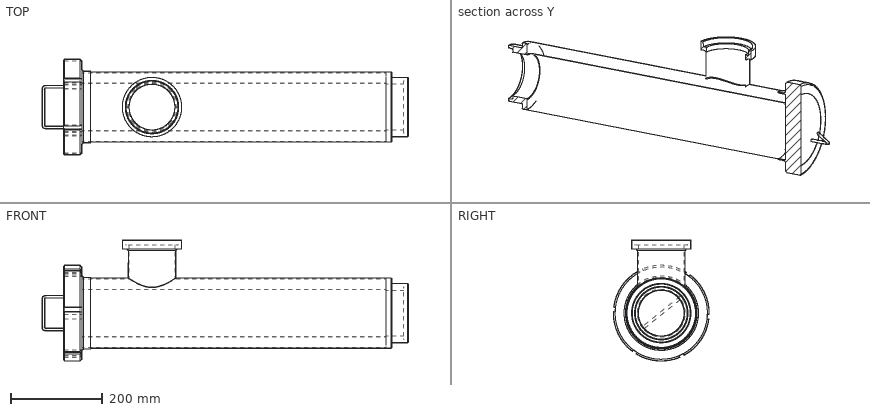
import cadquery as cq
import math


NUT_FRONT = 46.5
NUT_BACK = 87.0
CONE_END = 91.0
COLLAR_END = 106.0
HOUSING_END = 765.5
OVERALL_LENGTH = 801.0

HOUSING_OD = 154.0
HOUSING_ID = 150.0
COLLAR_OD = 157.0
COLLAR_CONE_OD = 163.0
END_WALL = 13.5
END_CHAMFER = 2.0

NUT_OD = 210.0
NUT_EDGE_DROP = 4.0
NUT_FRONT_CHAMFER = 2.5
NUT_BACK_CHAMFER = 4.5
SLOT_COUNT = 6
SLOT_WIDTH = 10.0
FIRST_SLOT_ANGLE = 55.6
COVER_DIAMETER = 163.0
COVER_RECESS = 0.5

HANDLE_ROD = 6.0
HANDLE_SPAN = 114.0
HANDLE_BEND_RADIUS = 5.0
HANDLE_ANGLE = 38.8
HANDLE_EMBED = 2.0

FERRULE_OD = 130.0
PORT_ID = 100.0
SEAT_TOP_DIAMETER = 117.0
SEAT_FLOOR_DIAMETER = 113.8
SEAT_DEPTH = 11.0
OUTLET_CHAMFER = 1.5

INLET_X = 240.3
INLET_TOP = 159.75
INLET_OD = 104.0
FERRULE_LENGTH = 20.0
FERRULE_CONE_OD = 110.5
FERRULE_CONE_LENGTH = 3.0

STRAINER_OD = 104.5
STRAINER_ID = 102.5


def cylinder_x(diameter, start, end):
    return cq.Workplane("YZ", origin=(start, 0, 0)).circle(diameter / 2).extrude(end - start)


def cylinder_z(diameter, start, end):
    return cq.Workplane("XY", origin=(INLET_X, 0, start)).circle(diameter / 2).extrude(end - start)


def turned_x(points):
    """Solid of revolution about the housing axis from (x, radius) points."""
    return cq.Workplane("XY").polyline(points).close().revolve(360, (0, 0, 0), (1, 0, 0))


def seat(plane):
    """Tapered gasket recess cut downwards from the plane of a ferrule's mouth."""
    return (
        plane.circle(SEAT_TOP_DIAMETER / 2)
        .workplane(offset=-SEAT_DEPTH)
        .circle(SEAT_FLOOR_DIAMETER / 2)
        .loft(ruled=True)
    )


def make_nut():
    edge_radius = NUT_OD / 2 - NUT_EDGE_DROP
    nut = turned_x([
        (NUT_FRONT, 0),
        (NUT_FRONT, edge_radius),
        (NUT_FRONT + NUT_FRONT_CHAMFER, NUT_OD / 2),
        (NUT_BACK - NUT_BACK_CHAMFER, NUT_OD / 2),
        (NUT_BACK, edge_radius),
        (NUT_BACK, 0),
    ])
    slot = cq.Workplane("XY").box(
        NUT_BACK - NUT_FRONT, 2 * NUT_EDGE_DROP, SLOT_WIDTH, centered=(False, False, True)
    ).translate((NUT_FRONT, edge_radius, 0))
    for index in range(SLOT_COUNT):
        angle = FIRST_SLOT_ANGLE + index * 360 / SLOT_COUNT
        nut = nut.cut(slot.rotate((0, 0, 0), (1, 0, 0), angle))
    return nut.cut(cylinder_x(COVER_DIAMETER, NUT_FRONT, NUT_FRONT + COVER_RECESS))


def make_handle():
    grip_x = HANDLE_ROD / 2
    foot_x = NUT_FRONT + HANDLE_EMBED
    leg_y = HANDLE_SPAN / 2
    bend = HANDLE_BEND_RADIUS
    bend_mid = bend * (1 - math.sqrt(0.5))
    path = (
        cq.Workplane("XY")
        .moveTo(foot_x, -leg_y)
        .lineTo(grip_x + bend, -leg_y)
        .threePointArc((grip_x + bend_mid, -leg_y + bend_mid), (grip_x, -leg_y + bend))
        .lineTo(grip_x, leg_y - bend)
        .threePointArc((grip_x + bend_mid, leg_y - bend_mid), (grip_x + bend, leg_y))
        .lineTo(foot_x, leg_y)
    )
    section = cq.Workplane("YZ", origin=(foot_x, -leg_y, 0)).circle(HANDLE_ROD / 2)
    return section.sweep(path).rotate((0, 0, 0), (1, 0, 0), HANDLE_ANGLE)


def make_housing():
    return turned_x([
        (NUT_BACK, 0),
        (NUT_BACK, COLLAR_CONE_OD / 2),
        (CONE_END, COLLAR_OD / 2),
        (COLLAR_END, COLLAR_OD / 2),
        (COLLAR_END, HOUSING_OD / 2),
        (HOUSING_END - END_CHAMFER, HOUSING_OD / 2),
        (HOUSING_END, HOUSING_OD / 2 - END_CHAMFER),
        (HOUSING_END, FERRULE_OD / 2),
        (OVERALL_LENGTH - OUTLET_CHAMFER, FERRULE_OD / 2),
        (OVERALL_LENGTH, FERRULE_OD / 2 - OUTLET_CHAMFER),
        (OVERALL_LENGTH, 0),
    ])


def make_inlet():
    ferrule_bottom = INLET_TOP - FERRULE_LENGTH
    neck = cylinder_z(INLET_OD, 0, ferrule_bottom)
    ferrule = cylinder_z(FERRULE_OD, ferrule_bottom, INLET_TOP)
    cone = (
        cq.Workplane("XY", origin=(INLET_X, 0, ferrule_bottom))
        .circle(FERRULE_CONE_OD / 2)
        .workplane(offset=-FERRULE_CONE_LENGTH)
        .circle(INLET_OD / 2)
        .loft(ruled=True)
    )
    return neck.union(ferrule).union(cone)


def cut_passages(body):
    body = body.cut(cylinder_x(HOUSING_ID, NUT_BACK, HOUSING_END - END_WALL))
    body = body.cut(cylinder_x(PORT_ID, HOUSING_END - END_WALL, OVERALL_LENGTH))
    body = body.cut(cylinder_z(PORT_ID, 0, INLET_TOP))
    body = body.cut(seat(cq.Workplane("XY", origin=(INLET_X, 0, INLET_TOP))))
    return body.cut(seat(cq.Workplane("YZ", origin=(OVERALL_LENGTH, 0, 0))))


def make_strainer():
    tube = cylinder_x(STRAINER_OD, NUT_BACK, HOUSING_END - END_WALL)
    return tube.cut(cylinder_x(STRAINER_ID, NUT_BACK, HOUSING_END - END_WALL))


body = cut_passages(make_housing().union(make_nut()).union(make_inlet()))
result = body.union(make_strainer()).union(make_handle())